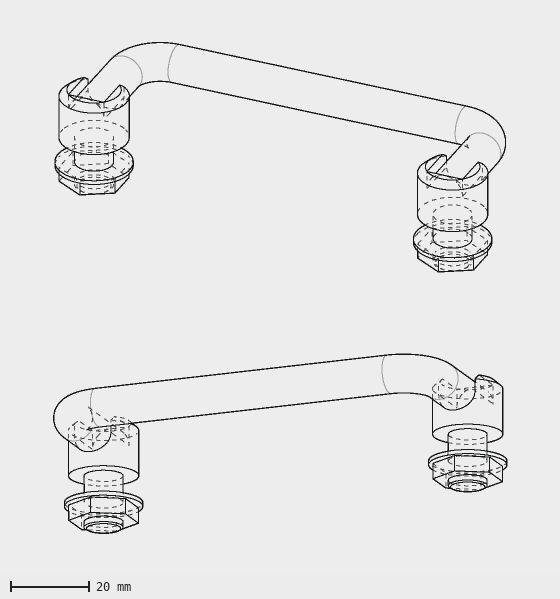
import cadquery as cq
import math

overall_length = 120.0
overall_depth = 44.2
overall_height = 28.0

rod_diameter = 10.0
rod_radius = rod_diameter / 2
bend_radius = 10.0

washer_diameter = 20.0
washer_thickness = 1.1
washer_top_z = 7.0
nut_across_flats = 15.6
nut_across_corners = nut_across_flats / math.cos(math.radians(30))
nut_height = 4.1

boss_diameter = 18.0
boss_height = 13.9
boss_chamfer_width = 2.0
boss_chamfer_height = 1.8
stud_diameter = rod_diameter
stud_chamfer_width = 0.6
stud_chamfer_height = 0.4

half_spacing = (overall_length - washer_diameter) / 2
grip_y = overall_depth - washer_diameter / 2 - rod_radius
rod_axis_z = overall_height - rod_radius
rod_end_y = -rod_radius
boss_bottom_z = overall_height - boss_height
washer_bottom_z = washer_top_z - washer_thickness
nut_bottom_z = washer_bottom_z - nut_height


def cylinder(diameter, bottom_z, top_z):
    return cq.Workplane("XY").workplane(offset=bottom_z).circle(diameter / 2).extrude(top_z - bottom_z)


def make_handle():
    """U-shaped round rod lying flat at the top of the bosses."""
    bend_start_y = grip_y - bend_radius
    bend_end_x = half_spacing - bend_radius
    bend_mid_offset = bend_radius * (1 - math.cos(math.radians(45)))
    bend_mid_x = half_spacing - bend_mid_offset
    bend_mid_y = grip_y - bend_mid_offset
    path = (
        cq.Workplane("XY", origin=(0, 0, rod_axis_z))
        .moveTo(-half_spacing, rod_end_y)
        .lineTo(-half_spacing, bend_start_y)
        .threePointArc((-bend_mid_x, bend_mid_y), (-bend_end_x, grip_y))
        .lineTo(bend_end_x, grip_y)
        .threePointArc((bend_mid_x, bend_mid_y), (half_spacing, bend_start_y))
        .lineTo(half_spacing, rod_end_y)
    )
    profile = cq.Workplane("XZ", origin=(-half_spacing, rod_end_y, rod_axis_z)).circle(rod_radius)
    return profile.sweep(path)


def make_boss():
    """Chamfered boss with a straight-walled slot, open at the back, for the rod."""
    boss = cylinder(boss_diameter, boss_bottom_z, overall_height)
    boss = boss.faces(">Z").edges().chamfer(boss_chamfer_height, boss_chamfer_width)
    slot_length = boss_diameter / 2 - rod_end_y
    slot = (
        cq.Workplane("XY", origin=(0, rod_end_y, rod_axis_z))
        .box(rod_diameter, slot_length, rod_radius, centered=(True, False, False))
    )
    return boss.cut(slot)


def make_stud():
    stud = cylinder(stud_diameter, 0, boss_bottom_z)
    return stud.faces("<Z").edges().chamfer(stud_chamfer_height, stud_chamfer_width)


def make_nut():
    """Hexagonal nut with flats facing along X and corners along Y."""
    return (
        cq.Workplane("XY", origin=(0, 0, nut_bottom_z))
        .transformed(rotate=(0, 0, 90))
        .polygon(6, nut_across_corners)
        .extrude(nut_height)
    )


def make_mount():
    washer = cylinder(washer_diameter, washer_bottom_z, washer_top_z)
    return make_boss().union(make_stud()).union(washer).union(make_nut())


mount = make_mount()
result = make_handle()
for side in (-1, 1):
    result = result.union(mount.translate((side * half_spacing, 0, 0)))